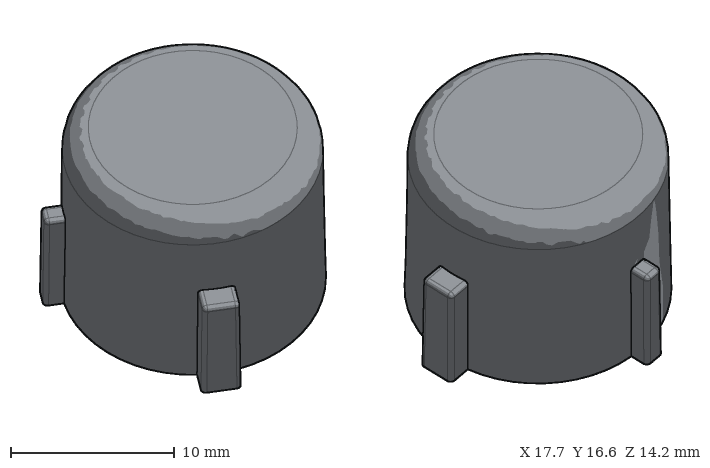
import cadquery as cq
import math

base_radius = 8.16
total_height = 14.15
wall_draft = 0.9
dome_radius = 31.52
shoulder_fillet = 2.0

rib_height = 7.53
rib_draft = 0.6
rib_fillet = 0.3
rib_inner_reach = 6.2
wide_rib_width = 2.48
wide_rib_reach = 9.63
narrow_rib_width = 1.49
narrow_rib_reach = 9.4
wide_rib_angles = (150, -30)
narrow_rib_angle = -120


def dome_height(radius):
    """Height of the dome surface at a distance from the axis."""
    sagitta = dome_radius - math.sqrt(dome_radius**2 - radius**2)
    return total_height - sagitta


def make_body():
    rim_height = total_height
    for _ in range(2):
        rim_radius = base_radius - rim_height * math.tan(math.radians(wall_draft))
        rim_height = dome_height(rim_radius)
    mid_radius = rim_radius / 2
    profile = (
        cq.Workplane("XZ")
        .lineTo(base_radius, 0)
        .lineTo(rim_radius, rim_height)
        .threePointArc((mid_radius, dome_height(mid_radius)), (0, total_height))
        .close()
    )
    body = profile.revolve(360, (0, 0), (0, 1))
    return body.faces("%CONE").edges(">Z").fillet(shoulder_fillet)


def make_rib(width, reach, angle):
    """Drafted radial rib with rounded outer corners and top edges."""
    length = reach - rib_inner_reach
    rib = (
        cq.Workplane("XY")
        .center(rib_inner_reach + length / 2, 0)
        .rect(length, width)
        .extrude(rib_height, taper=rib_draft)
    )
    outer_edges = rib.faces(">X").edges("not <Z")
    top_side_edges = rib.faces(">Z").edges("|X")
    rib = outer_edges.add(top_side_edges).fillet(rib_fillet)
    return rib.rotate((0, 0, 0), (0, 0, 1), angle)


result = make_body()
for rib_angle in wide_rib_angles:
    result = result.union(make_rib(wide_rib_width, wide_rib_reach, rib_angle))
result = result.union(make_rib(narrow_rib_width, narrow_rib_reach, narrow_rib_angle))